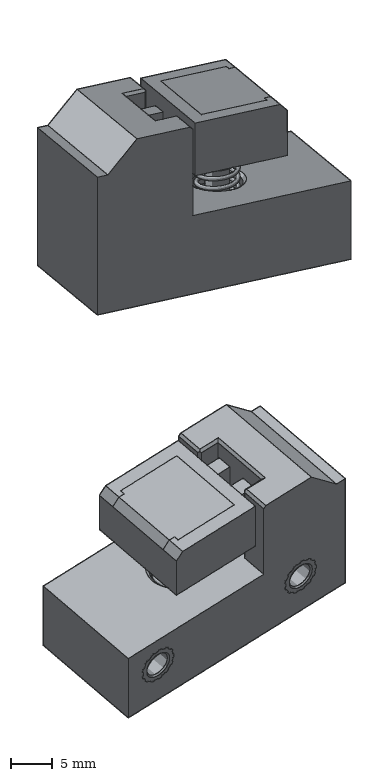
import cadquery as cq
import math


WIDTH = 15.65
LENGTH = 34.05
HEIGHT = 22.1
BACK_Y = LENGTH / 2
FRONT_Y = -LENGTH / 2
LEDGE_Z = 10.35
TOWER_BACK_Y = -4.22
NOSE_BEVEL = 3.9
NOSE_LIP = 1.4
EDGE_CHAMFER = 0.35
SLOT_WIDTH = 7.95
SLOT_DEPTH = 2.9

BUTTON_WIDTH = 14.17
BUTTON_BACK_Y = 8.85
BUTTON_FRONT_Y = -3.55
BUTTON_BOTTOM_Z = 15.15
BUTTON_CHAMFER = 1.0
PRONG_WIDTH = 1.98
PRONG_SPACING = 4.4
PRONG_TIP_Y = -6.65
PRONG_TOP_Z = 20.1

PLATE_WIDTH = 10.55
PLATE_BACK_Y = 7.05
PLATE_FRONT_Y = -1.77
PLATE_TAB_WIDTH = 9.23
PLATE_THICKNESS = 1.0

PIN_Y = 3.05
PIN_DIAMETER = 3.0
PIN_SEAT_DEPTH = 2.0
SPRING_OUTER_DIAMETER = 5.55
WIRE_DIAMETER = 0.5
COIL_HEIGHT = 7.63
COIL_TURNS = 6
SPRING_CLEARANCE = 0.07
POCKET_DIAMETER = 6.2
POCKET_CHAMFER = 0.4

INSERT_REAR_Y = 12.33
INSERT_SPACING = 22.38
INSERT_Z = 6.0
INSERT_DEPTH = 5.0
INSERT_DIAMETER = 4.7
KNURL_TIP_DIAMETER = 5.0
KNURL_TEETH = 13
KNURL_TIP_HALF = 0.15
KNURL_ROOT_HALF = 0.3
INSERT_BORE = 3.2
INSERT_MOUTH_CHAMFER = 0.2

coil_radius = (SPRING_OUTER_DIAMETER - WIRE_DIAMETER) / 2
coil_pitch = COIL_HEIGHT / COIL_TURNS
coil_bottom_z = BUTTON_BOTTOM_Z - SPRING_CLEARANCE - WIRE_DIAMETER / 2 - COIL_HEIGHT
pocket_floor_z = coil_bottom_z - WIRE_DIAMETER / 2
pin_bottom_z = pocket_floor_z - PIN_SEAT_DEPTH
pin_top_z = BUTTON_BOTTOM_Z + PIN_SEAT_DEPTH
insert_centres_y = [INSERT_REAR_Y, INSERT_REAR_Y - INSERT_SPACING]


def box(width, front_y, back_y, bottom_z, top_z, centre_x=0):
    """Box centred on centre_x, between the given Y and Z limits."""
    size_y = back_y - front_y
    size_z = top_z - bottom_z
    blank = cq.Workplane("XY").box(width, size_y, size_z, centered=(True, False, False))
    return blank.translate((centre_x, front_y, bottom_z))


def vertical_cylinder(diameter, bottom_z, top_z):
    """Cylinder on the axis shared by the pin and the spring."""
    base = cq.Workplane("XY", origin=(0, PIN_Y, bottom_z))
    return base.circle(diameter / 2).extrude(top_z - bottom_z)


def insert_blank(centre_y):
    """Solid plug with the insert's knurled outline, set into the left side."""
    valley_radius = INSERT_DIAMETER / 2
    tip_radius = KNURL_TIP_DIAMETER / 2
    tooth_angle = 2 * math.pi / KNURL_TEETH

    def at(radius, tooth):
        angle = math.pi + tooth * tooth_angle
        return (radius * math.cos(angle), radius * math.sin(angle))

    side = cq.Workplane("YZ", origin=(-WIDTH / 2, centre_y, INSERT_Z))
    outline = side.moveTo(*at(valley_radius, -KNURL_ROOT_HALF))
    for tooth in range(KNURL_TEETH):
        outline = outline.lineTo(*at(tip_radius, tooth - KNURL_TIP_HALF))
        outline = outline.lineTo(*at(tip_radius, tooth + KNURL_TIP_HALF))
        outline = outline.lineTo(*at(valley_radius, tooth + KNURL_ROOT_HALF))
        valley_middle = at(valley_radius, tooth + 0.5)
        next_root = at(valley_radius, tooth + 1 - KNURL_ROOT_HALF)
        outline = outline.threePointArc(valley_middle, next_root)
    return outline.close().extrude(INSERT_DEPTH)


def make_insert(centre_y):
    mouth = cq.Workplane("YZ", origin=(-WIDTH / 2, centre_y, INSERT_Z))
    bore = mouth.circle(INSERT_BORE / 2).extrude(INSERT_DEPTH)
    insert = insert_blank(centre_y).cut(bore)
    mouth_edge = cq.selectors.RadiusNthSelector(0)
    return insert.faces("<X").edges(mouth_edge).chamfer(INSERT_MOUTH_CHAMFER)


def make_housing():
    bevel_start_y = FRONT_Y + NOSE_LIP + NOSE_BEVEL
    profile = [
        (BACK_Y, 0),
        (BACK_Y, LEDGE_Z),
        (TOWER_BACK_Y, LEDGE_Z),
        (TOWER_BACK_Y, HEIGHT),
        (bevel_start_y, HEIGHT),
        (FRONT_Y + NOSE_LIP, HEIGHT - NOSE_BEVEL),
        (FRONT_Y, HEIGHT - NOSE_BEVEL),
        (FRONT_Y, 0),
    ]
    housing = cq.Workplane("YZ").polyline(profile).close().extrude(WIDTH / 2, both=True)

    slot_front_y = TOWER_BACK_Y - SLOT_DEPTH
    housing = housing.cut(box(SLOT_WIDTH, slot_front_y, TOWER_BACK_Y, LEDGE_Z, HEIGHT))

    rim = cq.selectors.BoxSelector(
        (-WIDTH, slot_front_y - EDGE_CHAMFER, HEIGHT - EDGE_CHAMFER),
        (WIDTH, TOWER_BACK_Y + EDGE_CHAMFER, HEIGHT + EDGE_CHAMFER),
    )
    housing = housing.faces(">Z").edges(rim).chamfer(EDGE_CHAMFER)

    mouth_half = SLOT_WIDTH / 2
    flare_half = mouth_half + EDGE_CHAMFER
    flare_front_y = TOWER_BACK_Y - EDGE_CHAMFER
    flare_outline = [
        (-flare_half, TOWER_BACK_Y),
        (-mouth_half, flare_front_y),
        (mouth_half, flare_front_y),
        (flare_half, TOWER_BACK_Y),
    ]
    flare_base = cq.Workplane("XY", origin=(0, 0, LEDGE_Z))
    flare = flare_base.polyline(flare_outline).close().extrude(HEIGHT - LEDGE_Z)
    housing = housing.cut(flare)

    housing = housing.cut(vertical_cylinder(POCKET_DIAMETER, pocket_floor_z, LEDGE_Z))
    mouth_edge = cq.selectors.BoxSelector(
        (-POCKET_DIAMETER, PIN_Y - POCKET_DIAMETER, LEDGE_Z - POCKET_CHAMFER),
        (POCKET_DIAMETER, PIN_Y + POCKET_DIAMETER, LEDGE_Z + POCKET_CHAMFER),
    )
    housing = housing.edges("%CIRCLE").edges(mouth_edge).chamfer(POCKET_CHAMFER)
    housing = housing.cut(vertical_cylinder(PIN_DIAMETER, pin_bottom_z, pocket_floor_z))

    for centre_y in insert_centres_y:
        housing = housing.cut(insert_blank(centre_y))
    return housing


def make_button_blank():
    """Button block with its chamfered top back edge."""
    block = box(BUTTON_WIDTH, BUTTON_FRONT_Y, BUTTON_BACK_Y, BUTTON_BOTTOM_Z, HEIGHT)
    return block.edges(">Y and >Z").chamfer(BUTTON_CHAMFER)


def make_cover_plate():
    """T-shaped plate that follows the button's top and back chamfer."""
    floor_z = HEIGHT - PLATE_THICKNESS
    plate = box(PLATE_WIDTH, PLATE_FRONT_Y, PLATE_BACK_Y, floor_z, HEIGHT)
    tab = box(PLATE_TAB_WIDTH, PLATE_BACK_Y, BUTTON_BACK_Y, floor_z, HEIGHT)
    return plate.union(tab).intersect(make_button_blank())


def make_button(cover_plate):
    button = make_button_blank().cut(cover_plate)
    for side in (-1, 1):
        centre_x = side * PRONG_SPACING / 2
        prong = box(
            PRONG_WIDTH, PRONG_TIP_Y, BUTTON_FRONT_Y, BUTTON_BOTTOM_Z, PRONG_TOP_Z, centre_x
        )
        button = button.union(prong)
    return button.cut(vertical_cylinder(PIN_DIAMETER, BUTTON_BOTTOM_Z, pin_top_z))


def make_spring():
    """Right-handed coil that rises from the pocket floor almost to the button."""
    helix = cq.Wire.makeHelix(coil_pitch, COIL_HEIGHT, coil_radius)
    wire_end = cq.Workplane("XZ", origin=(coil_radius, 0, 0)).circle(WIRE_DIAMETER / 2)
    spring = wire_end.sweep(cq.Workplane(helix), isFrenet=True)
    spring = spring.rotate((0, 0, 0), (0, 0, 1), 180)
    return spring.translate((0, PIN_Y, coil_bottom_z))


housing = make_housing()
cover_plate = make_cover_plate()
button = make_button(cover_plate)
guide_pin = vertical_cylinder(PIN_DIAMETER, pin_bottom_z, pin_top_z)
spring = make_spring()
inserts = [make_insert(centre_y).val() for centre_y in insert_centres_y]

result = cq.Compound.makeCompound(
    [
        housing.val(),
        cover_plate.val(),
        button.val(),
        guide_pin.val(),
        spring.val(),
        *inserts,
    ]
)